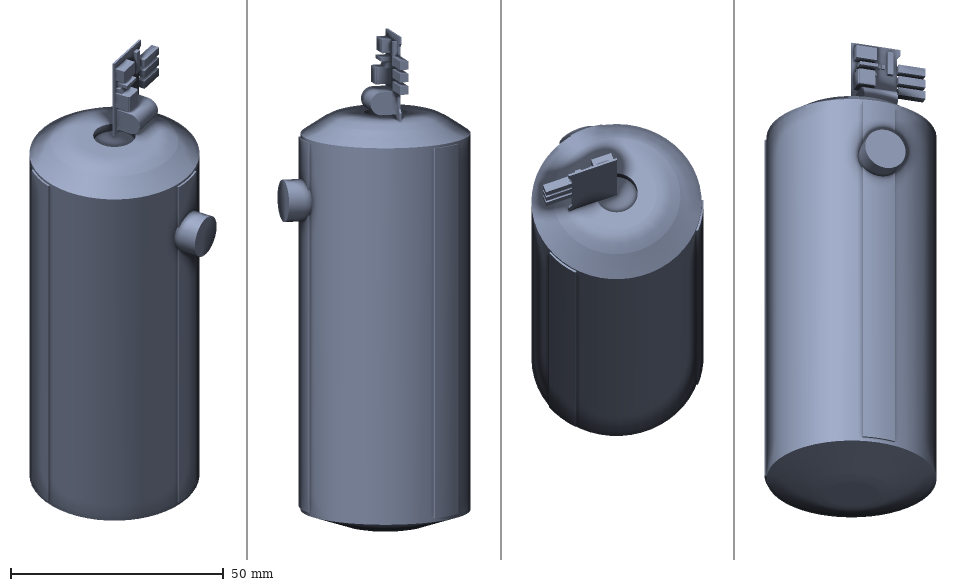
import cadquery as cq

total_height = 119.0
body_radius = 20.0
body_top = 99.0
wall_bottom = 4.0
wall_top = 94.0
top_cone_radius = 12.5
bottom_cone_radius = 8.0
dome_blend = 10.0
recess_radius = 5.0
recess_depth = 2.0

boss_radius = 5.0
boss_reach = 25.0
boss_z = 79.0

strip_angles = (0, 120, 240)
strip_width = 8.0
strip_thickness = 0.5
strip_bottom = 5.0
strip_top = 93.4

board_back = -0.5
board_front = 0.0
board_seat = 0.2
board_width = 12.1
notch_depth = 0.8
notch_top_gap = 1.5
notch_bottom_gap = 1.8

pin_start = 11.2
pin_end = 17.8
pin_front = 1.5
pin_height = 2.0
pin_pitch = 3.0
pin_count = 3
first_pin_z = total_height - 5.7

lens_radius = 2.7
lens_reach = 6.3
lens_y = (1.1, 9.4)
lens_z = body_top + 3.8

upper_block = (2.4, (0.5, 5.5), (114.1, 117.3))
thin_plate = (2.7, (1.2, 5.6), (112.2, 113.0))
lower_block = (3.5, (0.5, 4.8), (106.6, 110.5))
slim_block = (1.0, (8.7, 10.1), (111.7, 117.6))
small_chips = (
    (0.5, (7.4, 8.1), (113.0, 114.1)),
    (0.5, (6.4, 7.0), (113.0, 114.1)),
)

cap_thickness = 0.4
cap_inset = 0.2

wedge_y = (0.8, 5.8)
wedge_reach = 1.5
wedge_tip_reach = 1.0
wedge_height = 1.2


def make_body():
    """Revolve the body profile, with the two cones blended into the flat ends."""
    body = (
        cq.Workplane("XZ")
        .moveTo(0, 0)
        .lineTo(bottom_cone_radius, 0)
        .lineTo(body_radius, wall_bottom)
        .lineTo(body_radius, wall_top)
        .lineTo(top_cone_radius, body_top)
        .lineTo(0, body_top)
        .close()
        .revolve(360, (0, 0, 0), (0, 1, 0))
    )
    body = body.faces(">Z").edges().fillet(dome_blend)
    body = body.faces("<Z").edges().fillet(dome_blend)
    recess = (
        cq.Workplane("XY", origin=(0, 0, body_top - recess_depth))
        .circle(recess_radius)
        .extrude(recess_depth)
    )
    return body.cut(recess)


def make_boss():
    """Round boss pointing along +X, starting at the body axis."""
    return cq.Workplane("YZ", origin=(0, 0, boss_z)).circle(boss_radius).extrude(boss_reach)


def make_strip(angle):
    """Parallel-sided strip with a curved outer face, centred on the given angle about Z."""
    sleeve = (
        cq.Workplane("XY", origin=(0, 0, strip_bottom))
        .circle(body_radius + strip_thickness)
        .extrude(strip_top - strip_bottom)
    )
    half_width = strip_width / 2
    band = make_block(
        (0, body_radius + 2 * strip_thickness),
        (-half_width, half_width),
        (strip_bottom, strip_top),
    )
    return sleeve.intersect(band).rotate((0, 0, 0), (0, 0, 1), angle)


def make_block(x_range, y_range, z_range):
    """Axis-aligned box between the given limits."""
    corner = cq.Vector(x_range[0], y_range[0], z_range[0])
    return cq.Workplane("XY", origin=corner).box(
        x_range[1] - x_range[0],
        y_range[1] - y_range[0],
        z_range[1] - z_range[0],
        centered=False,
    )


def make_board():
    """Thin board whose +Y edge has a shallow notch with sloped ends."""
    board_bottom = body_top - board_seat
    notch_y = board_width - notch_depth
    notch_bottom = body_top + notch_bottom_gap
    notch_top = total_height - notch_top_gap
    return (
        cq.Workplane("YZ", origin=(board_back, 0, 0))
        .moveTo(0, board_bottom)
        .lineTo(board_width, board_bottom)
        .lineTo(board_width, notch_bottom)
        .lineTo(notch_y, notch_bottom + notch_depth)
        .lineTo(notch_y, notch_top - notch_depth)
        .lineTo(board_width, notch_top)
        .lineTo(board_width, total_height)
        .lineTo(0, total_height)
        .close()
        .extrude(board_front - board_back)
    )


def make_pin(index):
    """Square connector pin reaching out along +Y."""
    middle = first_pin_z - index * pin_pitch
    z_range = (middle - pin_height / 2, middle + pin_height / 2)
    return make_block((board_back, pin_front), (pin_start, pin_end), z_range)


def make_lens():
    """Block along Y with a half-round front."""
    centre_x = lens_reach - lens_radius
    return (
        cq.Workplane("XZ", origin=(0, lens_y[1], 0))
        .moveTo(board_back, lens_z - lens_radius)
        .lineTo(centre_x, lens_z - lens_radius)
        .threePointArc((lens_reach, lens_z), (centre_x, lens_z + lens_radius))
        .lineTo(board_back, lens_z + lens_radius)
        .close()
        .extrude(lens_y[1] - lens_y[0])
    )


def make_board_block(size):
    """Block part seated on the board."""
    reach, y_range, z_range = size
    return make_block((board_back, reach), y_range, z_range)


def make_cap():
    """Cap on the lower block, narrower in Y than the block itself."""
    block_reach, block_y, block_z = lower_block
    cap_y = (block_y[0] + cap_inset, block_y[1] - cap_inset)
    return make_block((board_back, block_reach + cap_thickness), cap_y, block_z)


def make_wedge():
    """Small part with a sloped top, seated on the lower block."""
    base_z = lower_block[2][1]
    return (
        cq.Workplane("XZ", origin=(0, wedge_y[1], 0))
        .moveTo(board_back, base_z)
        .lineTo(wedge_reach, base_z)
        .lineTo(wedge_tip_reach, base_z + wedge_height)
        .lineTo(board_back, base_z + wedge_height)
        .close()
        .extrude(wedge_y[1] - wedge_y[0])
    )


result = make_body().union(make_boss())
for strip_angle in strip_angles:
    result = result.union(make_strip(strip_angle))

result = result.union(make_board())
for pin_index in range(pin_count):
    result = result.union(make_pin(pin_index))
for block_size in (upper_block, thin_plate, lower_block, slim_block, *small_chips):
    result = result.union(make_board_block(block_size))
result = result.union(make_cap()).union(make_wedge()).union(make_lens())